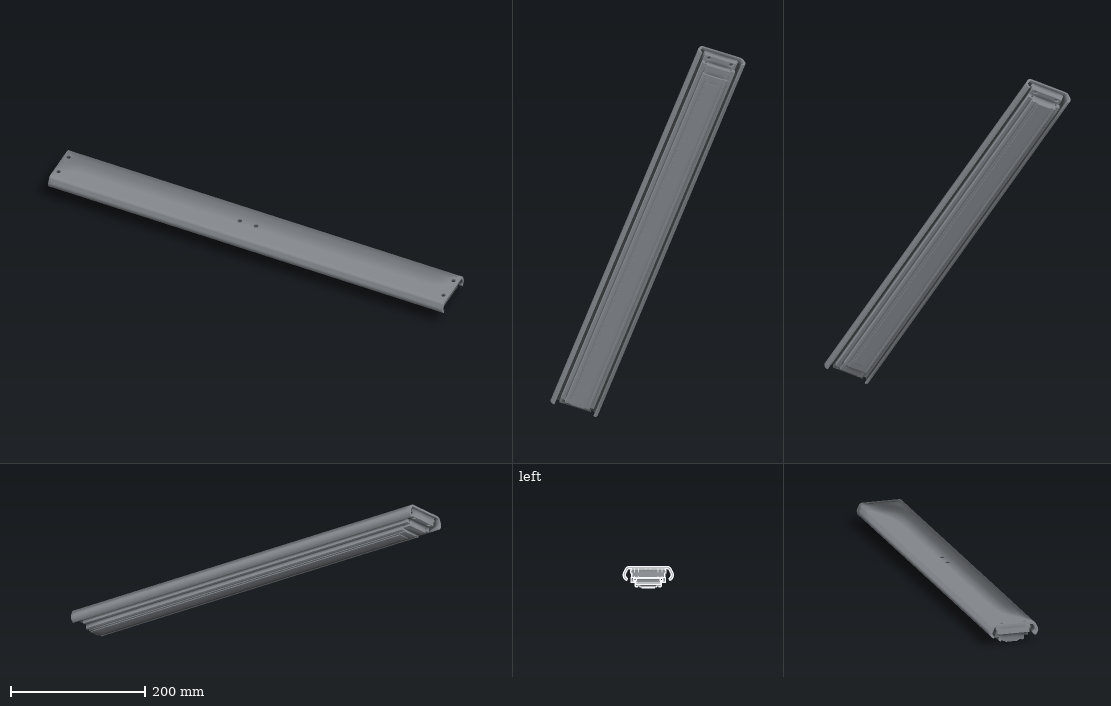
import cadquery as cq
import math

rail_length = 650.0
rail_width = 75.0
sheet = 3.0
web_half_width = 28.5
bend_radius = 6.2
flank_angle = 65.0
curl_radius = 9.0
curl_end_angle = 155.0

corner_hole_diameter = 6.5
corner_hole_x = 317.0
corner_hole_y = 17.5
middle_hole_diameter = 7.0
middle_hole_xs = (-26.5, 0.0)

block_length = 642.0
block_half_width = 25.0
block_depth = 13.0
ridge_half_width = 26.5
ridge_start = 4.0
ridge_end = 6.5

carriage_start = -311.0
stack_end = 311.0
carriage_half_width = 26.0
carriage_wall = 4.5
carriage_web = 1.0
carriage_depth = 7.0
carriage_lip = 2.5

plate_half_width = 18.0
thick_plate = 7.0
thin_plate = 2.0

tray_start = -296.5
tray_half_width = 19.5
tray_floor = 2.5
foot_inner = 16.0
foot_outer = 17.0
foot_height = 1.0
strip_start = -284.0
spine_half_width = 12.5
spine_height = 1.0
strip_half_width = 9.0
strip_bottom = -32.0

block_top = -sheet
carriage_top = block_top - block_depth
carriage_bottom = carriage_top - carriage_depth
thick_plate_top = carriage_top - carriage_web
thin_plate_top = thick_plate_top - thick_plate
thin_plate_bottom = thin_plate_top - thin_plate
tray_bottom = thin_plate_bottom - tray_floor
spine_bottom = tray_bottom - spine_height


def slab(x_start, x_end, half_width, z_bottom, z_top):
    """Box centred on Y = 0 between two X stations and two levels."""
    size = (x_end - x_start, 2 * half_width, z_top - z_bottom)
    return cq.Workplane("XY").box(*size, centered=False).translate((x_start, -half_width, z_bottom))


def prism(outline, x_start, x_end):
    """Extrude a closed (Y, Z) outline along X."""
    return cq.Workplane("YZ", origin=(x_start, 0, 0)).polyline(outline).close().extrude(x_end - x_start)


def arc_point(center, radius, degrees):
    """Point on an arc, with the angle measured from +Z towards +Y."""
    angle = math.radians(degrees)
    return (center[0] + radius * math.sin(angle), center[1] + radius * math.cos(angle))


def flank_points(inset):
    """Points along one flank from the web to the curled edge, inset from the outer skin."""
    bend_center = (web_half_width, -bend_radius)
    bend_end = arc_point(bend_center, bend_radius, flank_angle)
    curl_y = rail_width / 2 - curl_radius
    curl_start = arc_point((curl_y, 0), curl_radius, flank_angle)
    drop = (curl_start[0] - bend_end[0]) * math.tan(math.radians(flank_angle))
    curl_center = (curl_y, bend_end[1] - drop - curl_start[1])
    bend_angles = (0, flank_angle / 2, flank_angle)
    curl_angles = (flank_angle, (flank_angle + curl_end_angle) / 2, curl_end_angle)
    return ([arc_point(bend_center, bend_radius - inset, a) for a in bend_angles]
            + [arc_point(curl_center, curl_radius - inset, a) for a in curl_angles])


def mirrored(points):
    """The same points on the -Y side."""
    return [(-y, z) for y, z in points]


def trace_flank(path, points):
    """Draw arc, line, arc through six flank points, starting at the first one."""
    return path.threePointArc(*points[1:3]).lineTo(*points[3]).threePointArc(*points[4:6])


def make_outer_rail():
    """Bent sheet of constant thickness, outlined as skin, curled edge and lining in turn."""
    skin = flank_points(0)
    lining = flank_points(sheet)
    path = cq.Workplane("YZ").moveTo(*mirrored(skin)[0]).lineTo(*skin[0])
    path = trace_flank(path, skin).lineTo(*lining[-1])
    path = trace_flank(path, lining[::-1]).lineTo(*mirrored(lining)[0])
    path = trace_flank(path, mirrored(lining)).lineTo(*mirrored(skin)[-1])
    rail = trace_flank(path, mirrored(skin)[::-1]).close().extrude(rail_length / 2, both=True)
    middle_holes = (
        cq.Workplane("XY").pushPoints([(x, 0) for x in middle_hole_xs])
        .circle(middle_hole_diameter / 2).extrude(-sheet)
    )
    return rail.cut(middle_holes).cut(corner_holes())


def corner_holes():
    """Four cutters through the web and the core block."""
    return (
        cq.Workplane("XY").rect(2 * corner_hole_x, 2 * corner_hole_y, forConstruction=True).vertices()
        .circle(corner_hole_diameter / 2).extrude(carriage_top)
    )


def make_core_block():
    """Bar under the web with a ridge along each side and the four screw holes."""
    side = [
        (block_half_width, block_top),
        (ridge_half_width, block_top - ridge_start),
        (ridge_half_width, block_top - ridge_end),
        (block_half_width, block_top - ridge_end),
        (block_half_width, carriage_top),
    ]
    block = prism(side + mirrored(side)[::-1], -block_length / 2, block_length / 2)
    return block.cut(corner_holes())


def make_carriage():
    """Channel open downwards whose lips reach in to the thick plate."""
    body = slab(carriage_start, stack_end, carriage_half_width, carriage_bottom, carriage_top)
    cavity = slab(carriage_start, stack_end, carriage_half_width - carriage_wall,
                  carriage_bottom + carriage_lip, carriage_top - carriage_web)
    mouth = slab(carriage_start, stack_end, plate_half_width, carriage_bottom, carriage_bottom + carriage_lip)
    return body.cut(cavity).cut(mouth)


def make_tray():
    """Tray whose walls rise to the carriage, with two tapered feet and a spine below."""
    side = [
        (tray_half_width, carriage_bottom),
        (tray_half_width, tray_bottom),
        (foot_outer, tray_bottom - foot_height),
        (foot_inner, tray_bottom - foot_height),
        (foot_inner, tray_bottom),
        (spine_half_width, tray_bottom),
        (spine_half_width, spine_bottom),
    ]
    tray = prism(side + mirrored(side)[::-1], tray_start, stack_end)
    return tray.cut(slab(tray_start, stack_end, plate_half_width, thin_plate_bottom, carriage_bottom))


outer_rail = make_outer_rail()
core_block = make_core_block()
carriage = make_carriage()
thick_plate_body = slab(carriage_start, stack_end, plate_half_width, thin_plate_top, thick_plate_top)
thin_plate_body = slab(carriage_start, stack_end, plate_half_width, thin_plate_bottom, thin_plate_top)
tray = make_tray()
strip = slab(strip_start, stack_end, strip_half_width, strip_bottom, spine_bottom)

bodies = [outer_rail, core_block, carriage, thick_plate_body, thin_plate_body, tray, strip]
result = cq.Compound.makeCompound([body.val() for body in bodies])